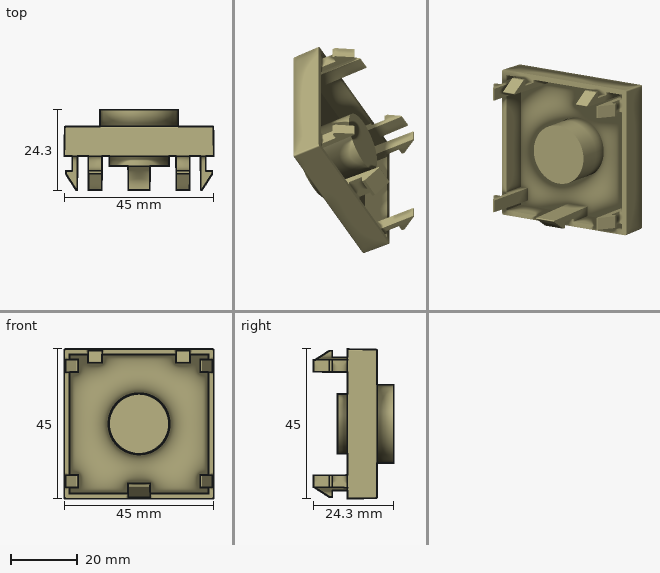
import cadquery as cq
import math


SIDE = 45.0
DEPTH = 8.95
WALL = 1.55
FLOOR_THICKNESS = 1.45
EDGE_RADIUS = 0.5
DRAFT_ANGLE = 1.0
CAVITY_DEPTH = DEPTH - FLOOR_THICKNESS
CAVITY_SIDE = SIDE - 2 * WALL

DISC_DIAMETER = 23.62
DISC_THICKNESS = 5.05
POST_DIAMETER = 18.0
POST_PROJECTION = 3.0
POST_LENGTH = DEPTH + POST_PROJECTION
POST_CLEARANCE = 0.22
POST_HOLE_DIAMETER = POST_DIAMETER + 2 * POST_CLEARANCE

CLIP_REACH = 10.25
STEM_OUT = 20.05
BARB_OUT = 22.0
BARB_SHOULDER = 4.45
BARB_FLAT = 0.9
APEX_ALLOWANCE = 0.5
TIP_RADIUS = 0.22
CLIP_WIDTH_DRAFT = 0.4
CLIP_APEX = CLIP_REACH + APEX_ALLOWANCE
CLIP_LENGTH = CAVITY_DEPTH + CLIP_APEX

SLIM_INNER_FLOOR = 18.3
SLIM_INNER_TIP = 18.55
THICK_INNER_FLOOR = 17.85
THICK_INNER_TIP = 18.55

SIDE_CLIP_WIDTH = 3.85
SIDE_CLIP_UPPER_Z = 17.4
SIDE_CLIP_LOWER_Z = -17.25
TOP_CLIP_WIDTH = 4.3
TOP_CLIP_X = 13.2
BOTTOM_CLIP_WIDTH = 6.8


def make_tray():
    """Square tray, rounded at the corners and back edge, with a cavity that narrows toward the floor."""
    block = (
        cq.Workplane("XZ")
        .rect(SIDE, SIDE)
        .extrude(-DEPTH, taper=DRAFT_ANGLE)
        .edges("not(|X or |Z)")
        .fillet(EDGE_RADIUS)
        .faces(">Y").edges()
        .fillet(EDGE_RADIUS)
    )
    cavity = cq.Workplane("XZ").rect(CAVITY_SIDE, CAVITY_SIDE).extrude(-CAVITY_DEPTH, taper=DRAFT_ANGLE)
    return block.cut(cavity)


def make_clip(width, inner_floor, inner_tip):
    """Snap clip against the +X wall, centred on Z = 0, with a foot that joins it to the wall below the rim."""
    wall_out = SIDE / 2 - WALL / 2
    profile = (
        cq.Workplane("XY")
        .moveTo(inner_floor, CAVITY_DEPTH)
        .lineTo(wall_out, CAVITY_DEPTH)
        .lineTo(wall_out, 0)
        .lineTo(STEM_OUT, 0)
        .lineTo(STEM_OUT, -BARB_SHOULDER)
        .lineTo(BARB_OUT, -BARB_SHOULDER)
        .lineTo(BARB_OUT, -BARB_SHOULDER - BARB_FLAT)
        .lineTo(inner_tip, -CLIP_APEX)
        .close()
        .extrude(width / 2, both=True)
        .edges("|Z and <Y")
        .fillet(TIP_RADIUS)
    )
    floor_half = width / 2
    tip_half = floor_half - CLIP_LENGTH * math.tan(math.radians(CLIP_WIDTH_DRAFT))
    flanks = (
        cq.Workplane("YZ")
        .polyline([
            (CAVITY_DEPTH, -floor_half),
            (CAVITY_DEPTH, floor_half),
            (-CLIP_APEX, tip_half),
            (-CLIP_APEX, -tip_half),
        ])
        .close()
        .extrude(SIDE / 2)
    )
    return profile.intersect(flanks)


def turn_to_wall(clip, angle):
    """Turn a clip from the +X wall about the Y axis; +90 degrees brings it to the bottom wall."""
    return clip.rotate((0, 0, 0), (0, 1, 0), angle)


def make_clips():
    """Two clips on each side wall, two on the top wall and one wide clip on the bottom wall."""
    side_clip = make_clip(SIDE_CLIP_WIDTH, SLIM_INNER_FLOOR, SLIM_INNER_TIP)
    top_clip = turn_to_wall(make_clip(TOP_CLIP_WIDTH, SLIM_INNER_FLOOR, SLIM_INNER_TIP), -90)
    bottom_clip = turn_to_wall(make_clip(BOTTOM_CLIP_WIDTH, THICK_INNER_FLOOR, THICK_INNER_TIP), 90)

    clips = [bottom_clip]
    for angle in (0, 180):
        for z in (SIDE_CLIP_LOWER_Z, SIDE_CLIP_UPPER_Z):
            clips.append(turn_to_wall(side_clip, angle).translate((0, 0, z)))
    for x in (-TOP_CLIP_X, TOP_CLIP_X):
        clips.append(top_clip.translate((x, 0, 0)))
    return clips


def make_housing():
    """Tray and clips as one moulded body, with the post hole through the floor."""
    housing = make_tray()
    for clip in make_clips():
        housing = housing.union(clip)
    post_hole = (
        cq.Workplane("XZ", origin=(0, CAVITY_DEPTH, 0))
        .circle(POST_HOLE_DIAMETER / 2)
        .extrude(-FLOOR_THICKNESS)
    )
    return housing.cut(post_hole)


def make_knob():
    """Disc seated on the flat back of the housing, with its post reaching out past the rim."""
    disc = cq.Workplane("XZ", origin=(0, DEPTH, 0)).circle(DISC_DIAMETER / 2).extrude(-DISC_THICKNESS)
    post = cq.Workplane("XZ", origin=(0, DEPTH, 0)).circle(POST_DIAMETER / 2).extrude(POST_LENGTH)
    return disc.union(post)


housing = make_housing()
knob = make_knob()

result = cq.Compound.makeCompound([housing.val(), knob.val()])